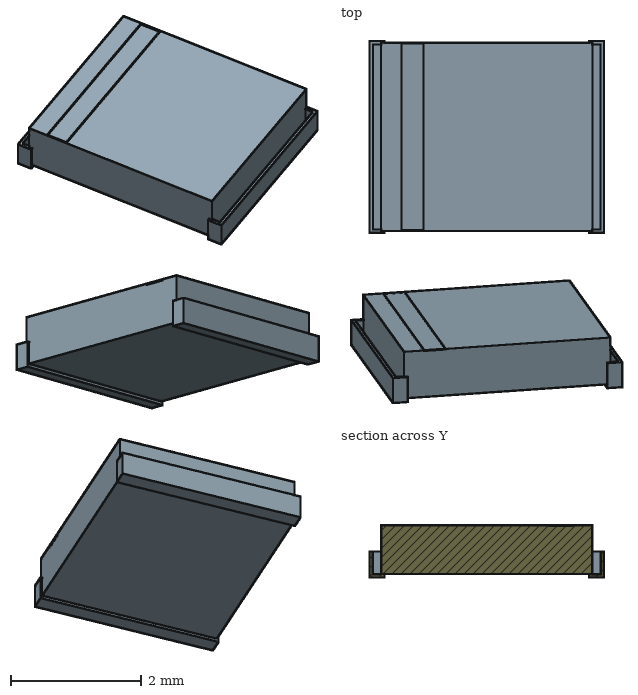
import cadquery as cq

length = 3.61
width = 2.95
height = 0.81

cap_reach = 0.235
cap_height = height / 2
cap_wall = 0.055

body_end_gap = 0.18
body_length = length - 2 * body_end_gap
body_width = width - cap_wall
body_height = height - cap_wall

strip_offset = 0.318
strip_length = 0.335
strip_side_margin = 0.015
strip_depth = 0.015
strip_width = body_width - 2 * strip_side_margin
strip_center_x = -body_length / 2 + strip_offset + strip_length / 2


def block(size_x, size_y, size_z, center_x, bottom_z):
    """Box centred in Y, placed by its X centre and its underside."""
    return (
        cq.Workplane("XY")
        .box(size_x, size_y, size_z, centered=(True, True, False))
        .translate((center_x, 0, bottom_z))
    )


def make_end_cap(side):
    """Cap at the -X end (side = -1) or the +X end (side = 1)."""
    outer_center_x = side * (length - cap_reach) / 2
    outer = block(cap_reach, width, cap_height, outer_center_x, 0)
    pocket = block(
        cap_reach, width - 2 * cap_wall, cap_height, outer_center_x - side * cap_wall, cap_wall
    )
    return outer.cut(pocket)


def make_strip():
    return block(strip_length, strip_width, strip_depth, strip_center_x, height - strip_depth)


def make_body(inserts):
    """Rectangular body with matching recesses for the strip and the cap side walls."""
    body = block(body_length, body_width, body_height, 0, cap_wall)
    for insert in inserts:
        body = body.cut(insert)
    return body


end_caps = [make_end_cap(side) for side in (-1, 1)]
strip = make_strip()
body = make_body([strip, *end_caps])

result = cq.Compound.makeCompound([body.val(), strip.val(), *[cap.val() for cap in end_caps]])